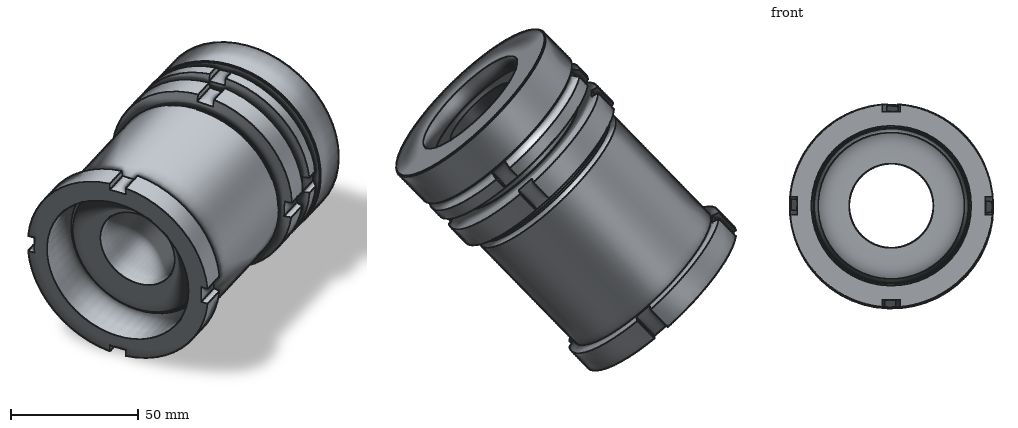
import cadquery as cq
import math


outer_radius = 40.0
chamfer_angle = 15.0
chamfer_slope = math.tan(math.radians(chamfer_angle))
edge_chamfer_radius = 36.0
thread_radius = 30.3
bore_radius = 16.5

slot_count = 4
slot_width = 7.0
slot_floor_radius = 37.0

flange_length = 10.9
sleeve_radius = 36.5
shoulder_y = 66.2
sleeve_neck_radius = 34.8
sleeve_neck_end_y = 68.8
sleeve_end_y = 70.0
sleeve_end_radius = 34.1
sleeve_bore_radius = 31.4
thread_start_y = 22.3
thread_chamfer = 0.5

ring_length = 11.4
ring_start_y = sleeve_end_y
ring_end_y = ring_start_y + ring_length
ring_slot_angle = 2.7

screw_start_y = 16.7
screw_chamfer = 1.6
tip_radius = thread_radius - screw_chamfer
neck_radius = tip_radius
neck_start_y = 83.2
collar_start_y = 85.1
collar_end_y = 91.1
collar_slot_angle = -1.3
dome_radius = 50.0
dome_center_y = collar_end_y - math.sqrt(dome_radius**2 - outer_radius**2)
dome_end_y = 104.7

washer_back_y = 111.0
washer_length = 16.0
washer_front_y = washer_back_y - washer_length
washer_chamfer = 0.5
washer_hole_radius = 25.0
washer_tilt_x = -0.5
washer_tilt_z = -0.15


def dome_radius_at(y):
    """Radius of the dome's circle at the given Y."""
    return math.sqrt(dome_radius**2 - (y - dome_center_y) ** 2)


def dome_point(y):
    """Point on the dome's profile at the given Y."""
    return (dome_radius_at(y), y)


def chamfer_height(inner_radius):
    """Height of a shallow chamfer running from inner_radius out to the outer radius."""
    return (outer_radius - inner_radius) * chamfer_slope


def turned(profile):
    """Turn a closed (radius, Y) profile about the Y axis."""
    return profile.close().revolve(360, (0, 0, 0), (0, 1, 0))


def cut_slots(body, start_y, end_y, angle):
    """Cut the evenly spaced spanner slots between two Y positions."""
    depth = outer_radius - slot_floor_radius
    slot = cq.Workplane("XY").box(slot_width, end_y - start_y, 2 * depth)
    slot = slot.translate((0, (start_y + end_y) / 2, slot_floor_radius + depth))
    for index in range(slot_count):
        turn = angle + index * 360 / slot_count
        body = body.cut(slot.rotate((0, 0, 0), (0, 1, 0), turn))
    return body


def make_sleeve():
    shoulder_height = sleeve_radius - sleeve_neck_radius
    flange_edge_y = flange_length - chamfer_height(sleeve_radius)
    profile = cq.Workplane("XY").polyline([
        (sleeve_bore_radius, 0),
        (outer_radius, 0),
        (outer_radius, flange_edge_y),
        (sleeve_radius, flange_length),
        (sleeve_radius, shoulder_y),
        (sleeve_neck_radius, shoulder_y + shoulder_height),
        (sleeve_neck_radius, sleeve_neck_end_y),
        (sleeve_end_radius, sleeve_end_y),
        (thread_radius, sleeve_end_y),
        (thread_radius, thread_start_y + thread_chamfer),
        (thread_radius + thread_chamfer, thread_start_y),
        (sleeve_bore_radius, thread_start_y),
    ])
    return cut_slots(turned(profile), 0, flange_length, 0)


def make_lock_ring():
    edge = chamfer_height(edge_chamfer_radius)
    profile = cq.Workplane("XY").polyline([
        (thread_radius, ring_start_y),
        (edge_chamfer_radius, ring_start_y),
        (outer_radius, ring_start_y + edge),
        (outer_radius, ring_end_y - edge),
        (edge_chamfer_radius, ring_end_y),
        (thread_radius, ring_end_y),
    ])
    return cut_slots(turned(profile), ring_start_y, ring_end_y, ring_slot_angle)


def make_screw():
    dome_middle_y = (collar_end_y + dome_end_y) / 2
    profile = (
        cq.Workplane("XY")
        .polyline([
            (bore_radius, screw_start_y),
            (tip_radius, screw_start_y),
            (thread_radius, screw_start_y + screw_chamfer),
            (thread_radius, neck_start_y - screw_chamfer),
            (neck_radius, neck_start_y),
            (neck_radius, collar_start_y),
            (edge_chamfer_radius, collar_start_y),
            (outer_radius, collar_start_y + chamfer_height(edge_chamfer_radius)),
            (outer_radius, collar_end_y),
        ])
        .threePointArc(dome_point(dome_middle_y), dome_point(dome_end_y))
        .lineTo(bore_radius, dome_end_y)
    )
    return cut_slots(turned(profile), collar_start_y, dome_end_y, collar_slot_angle)


def make_washer():
    seat_radius = dome_radius_at(washer_front_y)
    seat_end_y = dome_center_y + math.sqrt(dome_radius**2 - washer_hole_radius**2)
    seat_middle_y = (washer_front_y + seat_end_y) / 2
    profile = (
        cq.Workplane("XY")
        .polyline([
            (washer_hole_radius, seat_end_y),
            (washer_hole_radius, washer_back_y),
            (outer_radius - washer_chamfer, washer_back_y),
            (outer_radius, washer_back_y - washer_chamfer),
            (outer_radius, washer_front_y + washer_chamfer),
            (outer_radius - washer_chamfer, washer_front_y),
            (seat_radius, washer_front_y),
        ])
        .threePointArc(dome_point(seat_middle_y), (washer_hole_radius, seat_end_y))
    )
    pivot = cq.Vector(0, dome_center_y, 0)
    washer = turned(profile)
    washer = washer.rotate(pivot, pivot + cq.Vector(1.1, 0, 0), washer_tilt_x)
    return washer.rotate(pivot, pivot + cq.Vector(0, 0, 1.1), washer_tilt_z)


sleeve = make_sleeve()
lock_ring = make_lock_ring()
screw = make_screw()
washer = make_washer()

result = cq.Compound.makeCompound([sleeve.val(), lock_ring.val(), screw.val(), washer.val()])